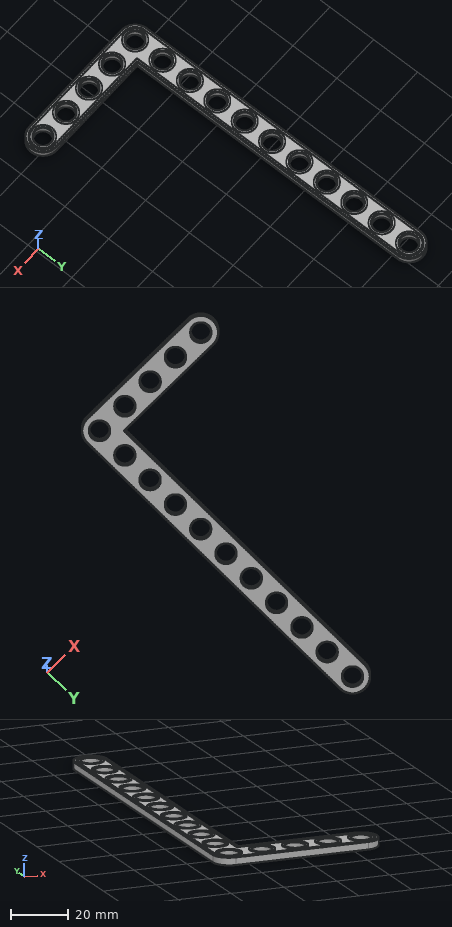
import cadquery as cq

long_arm_holes = 11
short_arm_holes = 5
overall_length = 137.5
thickness = 3.2
hole_diameter = 7.0
collar_diameter = 9.2
rim_width = 1.1
recess_depth = 0.2
edge_chamfer = 0.29

pitch = overall_length / long_arm_holes
end_radius = pitch / 2
long_arm_span = (long_arm_holes - 1) * pitch
short_arm_span = (short_arm_holes - 1) * pitch

hole_centres = [(0, row * pitch) for row in range(long_arm_holes)]
hole_centres += [(column * pitch, 0) for column in range(1, short_arm_holes)]


def angle_plate(half_width, height):
    """L-shaped plate with round arm ends, a round outer corner and a sharp inner corner."""
    corner_arc = half_width * 0.5**0.5
    return (
        cq.Workplane("XY")
        .moveTo(-half_width, 0)
        .threePointArc((-corner_arc, -corner_arc), (0, -half_width))
        .lineTo(short_arm_span, -half_width)
        .threePointArc((short_arm_span + half_width, 0), (short_arm_span, half_width))
        .lineTo(half_width, half_width)
        .lineTo(half_width, long_arm_span)
        .threePointArc((0, long_arm_span + half_width), (-half_width, long_arm_span))
        .close()
        .extrude(height)
    )


def discs(diameter, height):
    """One disc at every hole position."""
    return cq.Workplane("XY").pushPoints(hole_centres).circle(diameter / 2).extrude(height)


plate = angle_plate(end_radius, thickness).cut(discs(hole_diameter, thickness))
plate = plate.faces(">Z or <Z").edges().chamfer(edge_chamfer)

recess = angle_plate(end_radius - rim_width, recess_depth).cut(discs(collar_diameter, recess_depth))
recess = recess.translate((0, 0, thickness - recess_depth))

result = plate.cut(recess)